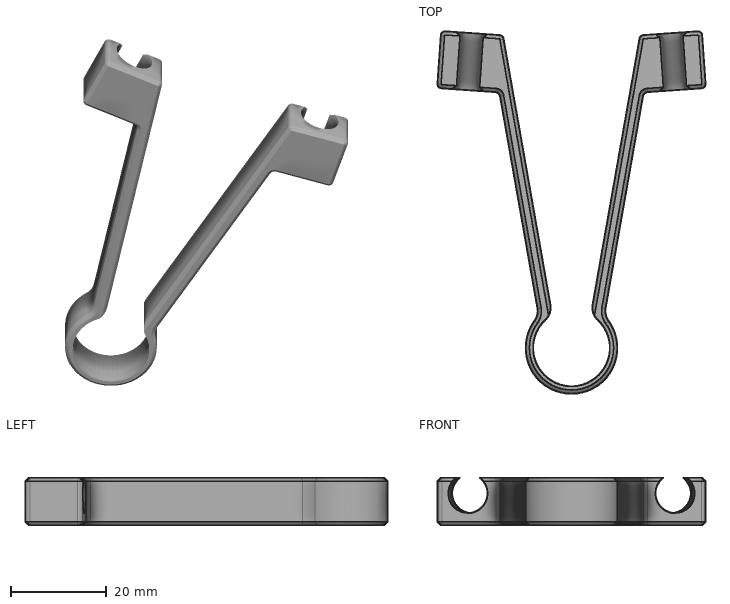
import cadquery as cq
import math

HEIGHT = 10.0
EDGE_CHAMFER = 0.8

BORE_RADIUS = 8.0
RING_WALL = 1.6
RING_RADIUS = BORE_RADIUS + RING_WALL

ARM_ANGLE = 10.0
ARM_INNER_OFFSET = 2.75
ARM_THICKNESS = 2.85
ARM_OUTER_OFFSET = ARM_INNER_OFFSET + ARM_THICKNESS
NECK_RADIUS = 3.4
THROAT_RADIUS = 3.5

CLIP_ANGLE = 4.0
CLIP_LENGTH = 12.0
CLIP_CENTER = (21.25, 59.83)
CLIP_OUTER_WIDTH = 6.46
CLIP_CORNER_RADIUS = 1.0
CLIP_ROOT_RADIUS = 1.0
ROD_RADIUS = 4.1
ROD_AXIS_HEIGHT = 6.7

PICK_REACH = 0.05


def arm_point(offset, along):
    """Point at a distance along the arm and an offset outwards from the ring centre."""
    angle = math.radians(ARM_ANGLE)
    return (
        offset * math.cos(angle) + along * math.sin(angle),
        along * math.cos(angle) - offset * math.sin(angle),
    )


def clip_point(across, along):
    """Point in the clip frame: across is outwards from the rod axis, along follows the axis."""
    angle = math.radians(CLIP_ANGLE)
    return (
        CLIP_CENTER[0] + across * math.cos(angle) - along * math.sin(angle),
        CLIP_CENTER[1] + across * math.sin(angle) + along * math.cos(angle),
    )


def arm_meets_clip(offset, clip_along):
    """Point where an arm face line crosses an end line of the clip head."""
    start = arm_point(offset, 0)
    target = clip_point(0, clip_along)
    gap_x = target[0] - start[0]
    gap_y = target[1] - start[1]
    clip_angle = math.radians(CLIP_ANGLE)
    across_gap = gap_y * math.cos(clip_angle) - gap_x * math.sin(clip_angle)
    along = across_gap / math.cos(math.radians(ARM_ANGLE + CLIP_ANGLE))
    return arm_point(offset, along)


INNER_TIP = arm_meets_clip(ARM_INNER_OFFSET, CLIP_LENGTH / 2)
CLIP_ROOT = arm_meets_clip(ARM_OUTER_OFFSET, -CLIP_LENGTH / 2)
OUTER_TIP = clip_point(CLIP_OUTER_WIDTH, CLIP_LENGTH / 2)
OUTER_HEEL = clip_point(CLIP_OUTER_WIDTH, -CLIP_LENGTH / 2)

NECK = arm_point(ARM_OUTER_OFFSET, math.sqrt(RING_RADIUS**2 - ARM_OUTER_OFFSET**2))
THROAT = arm_point(ARM_INNER_OFFSET, math.sqrt(BORE_RADIUS**2 - ARM_INNER_OFFSET**2))


def fillet_upright_edges(body, corner, radius):
    """Round the upright edge at a corner and its mirror image on the other arm."""
    for side in (1, -1):
        x = side * corner[0]
        y = corner[1]
        low_corner = (x - PICK_REACH, y - PICK_REACH, 0)
        high_corner = (x + PICK_REACH, y + PICK_REACH, HEIGHT)
        box = cq.selectors.BoxSelector(low_corner, high_corner)
        body = body.edges("|Z").edges(box).fillet(radius)
    return body


def make_blank():
    """Solid disc with both arms and clip heads, opened between the arms and chamfered all round."""
    arm_outline = [
        arm_point(ARM_INNER_OFFSET, 0),
        INNER_TIP,
        OUTER_TIP,
        OUTER_HEEL,
        CLIP_ROOT,
        arm_point(ARM_OUTER_OFFSET, 0),
    ]
    arm = cq.Workplane("XY").polyline(arm_outline).close().extrude(HEIGHT)
    root_x, root_y = arm_point(ARM_INNER_OFFSET, 0)
    tip_x, tip_y = INNER_TIP
    gap_outline = [(-root_x, root_y), (root_x, root_y), (tip_x, tip_y), (-tip_x, tip_y)]
    gap = cq.Workplane("XY").polyline(gap_outline).close().extrude(HEIGHT)
    disc = cq.Workplane("XY").circle(RING_RADIUS).extrude(HEIGHT)
    blank = disc.union(arm).union(arm.mirror("YZ")).cut(gap)

    blank = fillet_upright_edges(blank, NECK, NECK_RADIUS)
    blank = fillet_upright_edges(blank, CLIP_ROOT, CLIP_ROOT_RADIUS)
    for corner in (INNER_TIP, OUTER_TIP, OUTER_HEEL):
        blank = fillet_upright_edges(blank, corner, CLIP_CORNER_RADIUS)
    return blank.faces("<Z or >Z").edges().chamfer(EDGE_CHAMFER)


def cut_bore(body):
    """Cut the sharp-edged bore and round its lips where it opens between the arms."""
    bore = cq.Workplane("XY").circle(BORE_RADIUS).extrude(HEIGHT)
    return fillet_upright_edges(body.cut(bore), THROAT, THROAT_RADIUS)


def cut_rod_seats(body):
    """Cut the open-topped round seat through each clip head."""
    seat = (
        cq.Workplane("XZ")
        .circle(ROD_RADIUS)
        .extrude(CLIP_LENGTH, both=True)
        .rotate((0, 0, 0), (0, 0, 1), CLIP_ANGLE)
        .translate((CLIP_CENTER[0], CLIP_CENTER[1], ROD_AXIS_HEIGHT))
    )
    return body.cut(seat).cut(seat.mirror("YZ"))


result = cut_rod_seats(cut_bore(make_blank()))